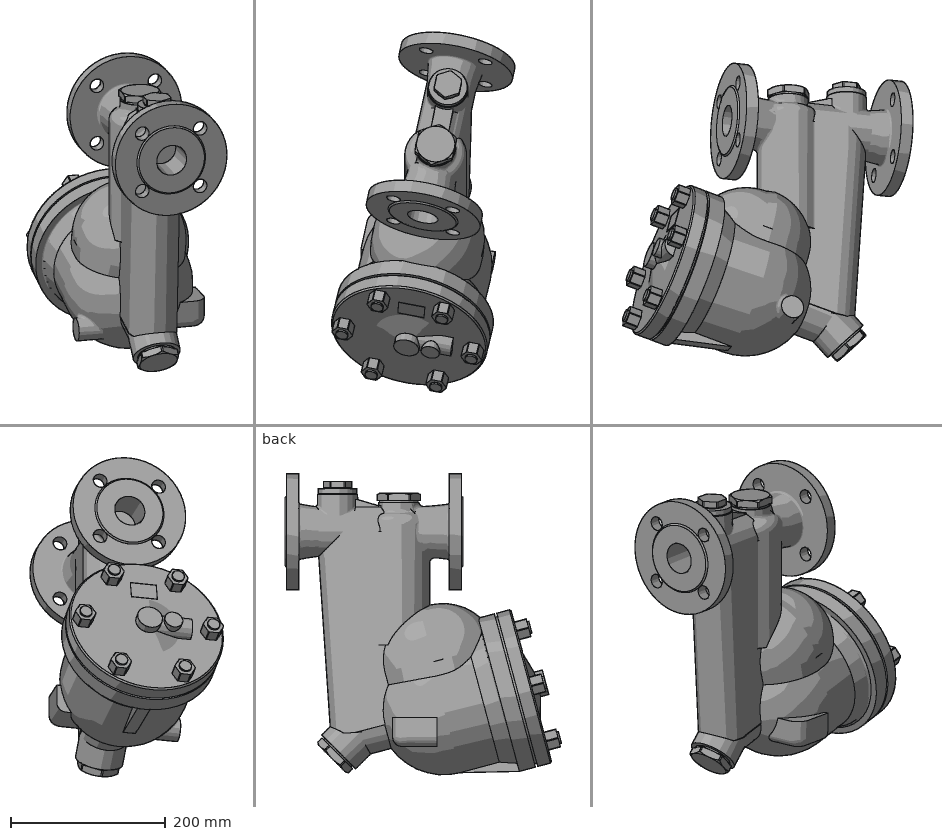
import cadquery as cq
import math


overall_length = 356.95
overall_height = 388.92
face_to_face = 230.0
flange_diameter = 150.0
flange_thickness = 16.0
raised_face_diameter = 88.0
raised_face_base_diameter = 92.0
raised_face_height = 2.0
flange_hole_diameter = 18.0
flange_hole_circle = 110.0
flange_hole_count = 4
flange_hole_start_angle = 45.0
bore_diameter = 40.0
bore_depth = 50.0
pipe_radius = 32.0
neck_radius_at_flange = 35.5
inlet_neck_end_radius = 29.5
outlet_neck_end_x = 71.5
neck_root_fillet = 3.0
neck_fillet = 6.0
web_fillet = 4.0

tube_x = -32.0
tube_radius = 40.0
tube_bottom_z = -146.0
shoulder_bottom_z = 9.7
shoulder_radius = 14.5
shoulder_root_radius = 5.8
tube_neck_radius = 26.0
tube_neck_top_z = 37.5
cap_washer_diameter = 50.0
cap_washer_thickness = 2.5
cap_hex_flats = 49.5
cap_hex_corners = 56.0
cap_crown_angle = 60.0
cap_hex_height = 9.7

boss_x = 47.0
boss_radius = 26.0
boss_top_z = 48.0
boss_fillet = 4.0
collar_diameter = 50.0
collar_bottom_z = 49.0
collar_top_z = 55.5
plug_stem_diameter = 33.0
plug_hex_flats = 33.0
plug_hex_corners = 37.0
plug_hex_bottom_z = 56.7
plug_hex_height = 8.3

rib_thickness = 23.5
rib_low_z = 33.5
rib_high_z = 41.5
rib_root_width = 35.0
rib_root_top_z = 31.8

channel_x = 39.5
channel_tilt = 3.85
channel_bottom_z = -259.0

chamber_tilt = 15.0
cover_x = -203.0
lowest_z = flange_diameter / 2 - overall_height
leftmost_x = face_to_face / 2 - overall_length
cover_diameter = 205.0
cover_thickness = 19.0
cover_chamfer = 2.0
gasket_diameter = 196.0
gasket_thickness = 3.0
body_flange_thickness = 21.5
body_flange_fillet = 3.0
body_root_radius = 91.0
body_taper_end = 65.5
body_radius = 84.5
body_length = 117.0
body_flange_face = cover_thickness + gasket_thickness
body_flange_back = body_flange_face + body_flange_thickness

dome_radius = 72.0
dome_offset = 63.0
dome_start = 101.0
dome_end = 113.3
dome_end_offset = 65.8

bolt_circle_radius = 85.0
bolt_count = 6
stud_diameter = 16.0
nut_flats = 24.0
nut_corners = 27.0
nut_height = 16.0
cone_base_diameter = 88.0
cone_height = 8.0
centre_boss_diameter = 33.0
fitting_height = 19.0
side_pipe_diameter = 30.0
side_pipe_length = 57.5
side_boss_diameter = 24.0
side_boss_offset = 31.5
label_width = 34.5
label_height = 23.0
label_offset = 57.5
label_thickness = 0.5

elbow_radius = 31.0
elbow_length = 35.5
elbow_angle = 45.0
elbow_bend_x = 20.5

side_plug_x = -52.3
side_plug_z = -273.7
side_plug_diameter = 30.0
side_plug_fillet = 3.5
side_plug_reach = 80.0
rear_lug_left_x = -81.0
rear_lug_right_x = -24.0
rear_lug_reach = 88.5
rear_lug_bottom_z = -277.0
rear_lug_top_z = -240.0
rear_lug_fillet = 18.0
rear_lug_bottom_fillet = 12.0
foot_width = 16.6

edge_margin = 1.0

sin_tilt = math.sin(math.radians(chamber_tilt))
cos_tilt = math.cos(math.radians(chamber_tilt))
cover_z = lowest_z + body_radius + body_length * sin_tilt
chamber = cq.Plane(
    origin=(cover_x, 0, cover_z), xDir=(0, 1, 0), normal=(cos_tilt, 0, -sin_tilt)
)
bolt_row_offset = bolt_circle_radius * math.sin(2 * math.pi / bolt_count)
stud_length = (
    cover_x - leftmost_x - (bolt_row_offset + stud_diameter / 2) * sin_tilt
) / cos_tilt


def chamber_plane(depth):
    """Workplane across the chamber axis, the given depth behind the cover face."""
    return cq.Workplane(chamber).workplane(offset=depth)


def upright(x, bottom_z):
    """Horizontal workplane centred on an upright axis."""
    return cq.Workplane("XY", origin=(x, 0, bottom_z))


def hex_head(plane, flats, corners, height):
    """Hexagon with its corners turned down to a circle."""
    prism = plane.polygon(6, flats / math.cos(math.radians(30))).extrude(height)
    return prism.intersect(plane.circle(corners / 2).extrude(height))


def fillet_edges(body, radius, lower, upper):
    """Round the edges whose middle lies inside the box between two corners."""
    return body.edges(cq.selectors.BoxSelector(lower, upper)).fillet(radius)


def pipe_flange(neck_end_x, neck_end_radius):
    """Flange, raised face and tapered neck on the -X side."""
    face_x = -face_to_face / 2
    disc_x = face_x + raised_face_height
    neck_x = disc_x + flange_thickness
    raised = cq.Workplane(
        cq.Solid.makeCone(
            raised_face_diameter / 2,
            raised_face_base_diameter / 2,
            raised_face_height,
            cq.Vector(face_x, 0, 0),
            cq.Vector(1, 0, 0),
        )
    )
    disc = cq.Workplane("YZ", origin=(disc_x, 0, 0)).circle(flange_diameter / 2)
    holes = (
        cq.Workplane("YZ", origin=(disc_x, 0, 0))
        .polarArray(flange_hole_circle / 2, flange_hole_start_angle, 360, flange_hole_count)
        .circle(flange_hole_diameter / 2)
        .extrude(flange_thickness)
    )
    neck = (
        cq.Workplane("XY")
        .moveTo(neck_x, 0)
        .lineTo(neck_x, neck_radius_at_flange + neck_root_fillet)
        .radiusArc(
            (neck_x + neck_root_fillet, neck_radius_at_flange), -neck_root_fillet
        )
        .lineTo(neck_end_x, neck_end_radius)
        .lineTo(neck_end_x, 0)
        .close()
        .revolve(360, (0, 0, 0), (1, 0, 0))
    )
    body = raised.union(disc.extrude(flange_thickness))
    return body.cut(holes).union(neck)


def capped_tube():
    """Upright tube with a rounded shoulder and a narrow neck."""
    arc_sum = shoulder_radius + shoulder_root_radius
    turn = math.acos(1 - (tube_radius - tube_neck_radius) / arc_sum)
    meeting = (
        tube_radius - shoulder_radius * (1 - math.cos(turn)),
        shoulder_bottom_z + shoulder_radius * math.sin(turn),
    )
    root_z = shoulder_bottom_z + arc_sum * math.sin(turn)
    return (
        cq.Workplane("XZ", origin=(tube_x, 0, 0))
        .moveTo(0, tube_bottom_z)
        .lineTo(tube_radius, tube_bottom_z)
        .lineTo(tube_radius, shoulder_bottom_z)
        .radiusArc(meeting, -shoulder_radius)
        .radiusArc((tube_neck_radius, root_z), shoulder_root_radius)
        .lineTo(tube_neck_radius, tube_neck_top_z)
        .lineTo(0, tube_neck_top_z)
        .close()
        .revolve(360, (0, 0, 0), (0, 1, 0))
    )


def cap(plane):
    """Hexagonal screw cap with a round crown on a thin washer."""
    washer = plane.circle(cap_washer_diameter / 2).extrude(cap_washer_thickness)
    head_plane = plane.workplane(offset=cap_washer_thickness)
    head = hex_head(head_plane, cap_hex_flats, cap_hex_corners, cap_hex_height)
    crown = (
        head_plane.workplane(offset=cap_hex_height)
        .circle(cap_hex_flats / 2)
        .extrude(-cap_hex_height, taper=-cap_crown_angle)
    )
    return washer.union(head.intersect(crown))


def boss_plug():
    """Collared hexagon plug standing in the boss."""
    stem = upright(boss_x, 0).circle(plug_stem_diameter / 2).extrude(plug_hex_bottom_z)
    collar = (
        upright(boss_x, collar_bottom_z)
        .circle(collar_diameter / 2)
        .extrude(collar_top_z - collar_bottom_z)
    )
    head = hex_head(
        upright(boss_x, plug_hex_bottom_z), plug_hex_flats, plug_hex_corners, plug_hex_height
    )
    return stem.union(collar).union(head)


def sloping_rib():
    """Rib rising from the tube neck to the boss, flared where it meets the pipe."""
    low_x = tube_x + tube_neck_radius
    high_x = boss_x - boss_radius
    root_y = rib_root_width / 2
    side_y = rib_thickness / 2
    root_z = math.sqrt(pipe_radius**2 - root_y**2)
    root = (
        cq.Workplane("YZ", origin=(tube_x, 0, 0))
        .moveTo(-root_y, root_z)
        .lineTo(-side_y, rib_root_top_z)
        .lineTo(side_y, rib_root_top_z)
        .lineTo(root_y, root_z)
        .close()
        .extrude(boss_x - tube_x)
    )
    web = (
        cq.Workplane("XZ", origin=(0, rib_thickness / 2, 0))
        .moveTo(tube_x, 0)
        .lineTo(tube_x, rib_low_z)
        .lineTo(low_x, rib_low_z)
        .lineTo(high_x, rib_high_z)
        .lineTo(boss_x, rib_high_z)
        .lineTo(boss_x, 0)
        .close()
        .extrude(rib_thickness)
    )
    return web.union(root)


def outlet_channel():
    """Flat-sided channel whose outer edge is a half round."""
    bend_z = -pipe_radius
    drop = bend_z - channel_bottom_z
    slope = math.tan(math.radians(channel_tilt))
    bottom_x = channel_x - drop * slope
    web = (
        cq.Workplane("XZ", origin=(0, pipe_radius, 0))
        .moveTo(tube_x, 0)
        .lineTo(channel_x, 0)
        .lineTo(channel_x, bend_z)
        .lineTo(bottom_x, channel_bottom_z)
        .lineTo(cover_x + body_length * cos_tilt, cover_z - body_length * sin_tilt)
        .lineTo(tube_x, tube_bottom_z)
        .close()
        .extrude(2 * pipe_radius)
    )
    path = (
        cq.Workplane("XZ")
        .moveTo(channel_x, 0)
        .lineTo(channel_x, bend_z)
        .lineTo(bottom_x, channel_bottom_z)
    )
    return web.union(upright(channel_x, 0).circle(pipe_radius).sweep(path, transition="right"))


def drain_elbow():
    """Tube on the chamber axis that turns to a capped drain."""
    bend_depth = (elbow_bend_x - cover_x) / cos_tilt
    bend_z = cover_z - bend_depth * sin_tilt
    run = math.cos(math.radians(elbow_angle))
    drop = math.sin(math.radians(elbow_angle))
    end_x = elbow_bend_x + elbow_length * run
    end_z = bend_z - elbow_length * drop
    start = chamber.toWorldCoords((0, 0, body_length))
    path = (
        cq.Workplane("XZ")
        .moveTo(start.x, start.z)
        .lineTo(elbow_bend_x, bend_z)
        .lineTo(end_x, end_z)
    )
    tube = chamber_plane(body_length).circle(elbow_radius).sweep(path, transition="right")
    end = cq.Plane(origin=(end_x, 0, end_z), xDir=(drop, 0, run), normal=(run, 0, -drop))
    return tube.union(cap(cq.Workplane(end)))


def chamber_body():
    """Flanged chamber body with a spherical end."""
    back = body_flange_back
    radius = cover_diameter / 2
    fillet = body_flange_fillet
    profile = (
        cq.Workplane("XY")
        .moveTo(0, body_flange_face)
        .lineTo(radius, body_flange_face)
        .lineTo(radius, back)
        .lineTo(body_root_radius + fillet, back)
        .radiusArc((body_root_radius, back + fillet), fillet)
        .lineTo(body_radius, body_taper_end)
        .lineTo(body_radius, body_length)
        .radiusArc((0, body_length + body_radius), -body_radius)
        .close()
        .revolve(360, (0, 0, 0), (0, 1, 0))
    )
    turned = profile.rotate((0, 0, 0), (1, 0, 0), 90).val().moved(cq.Location(chamber))
    gasket = chamber_plane(cover_thickness).circle(gasket_diameter / 2).extrude(gasket_thickness)
    cover = (
        chamber_plane(0)
        .circle(cover_diameter / 2)
        .extrude(cover_thickness)
        .faces(cq.selectors.DirectionMinMaxSelector(chamber.zDir, False))
        .chamfer(cover_chamfer)
    )
    return cq.Workplane(turned).union(gasket).union(cover)


def upper_dome():
    """Bulge above the chamber: two sphere ends, a short barrel and straight sides."""
    length = dome_end - dome_start
    start = cq.Vector(0, dome_offset, dome_start)
    end = cq.Vector(0, dome_end_offset, dome_end)
    across = cq.Vector(0, 0, 1)
    ring = cq.Wire.makeCircle(dome_radius, start, across)
    dome = cq.Workplane(cq.Solid.extrudeLinear(ring, [], end - start))
    for centre, facing in ((start, -across), (end, across)):
        ball = cq.Solid.makeSphere(dome_radius, centre, facing, 0, 90, 360)
        side = cq.Workplane("XZ", origin=centre.toTuple()).circle(dome_radius).extrude(centre.y)
        dome = dome.union(cq.Workplane(ball)).union(side)
    filler = (
        cq.Workplane("XY", origin=(0, dome_offset / 2, dome_start))
        .rect(2 * dome_radius, dome_offset)
        .extrude(length)
    )
    return cq.Workplane(dome.union(filler).val().moved(cq.Location(chamber)))


def bolting():
    """Studs and nuts round the cover."""
    fasteners = []
    for index in range(bolt_count):
        angle = 2 * math.pi * index / bolt_count
        spot = (bolt_circle_radius * math.cos(angle), bolt_circle_radius * math.sin(angle))
        stud = chamber_plane(0).center(*spot).circle(stud_diameter / 2).extrude(-stud_length)
        nut = hex_head(chamber_plane(0).center(*spot), nut_flats, nut_corners, -nut_height)
        fasteners.append(stud.union(nut).val())
    return cq.Workplane(cq.Compound.makeCompound(fasteners))


def cover_fittings():
    """Cone, centre boss, side pipe with its boss, and the label plate."""
    cone = cq.Solid.makeCone(
        cone_base_diameter / 2,
        centre_boss_diameter / 2,
        cone_height,
        cq.Vector(*chamber.origin.toTuple()),
        -chamber.zDir,
    )
    centre = chamber_plane(0).circle(centre_boss_diameter / 2).extrude(-fitting_height)
    side = (
        chamber_plane(0)
        .center(-side_boss_offset, 0)
        .circle(side_boss_diameter / 2)
        .extrude(-fitting_height)
    )
    pipe = (
        cq.Workplane("XZ", origin=(cover_x, 0, cover_z))
        .circle(side_pipe_diameter / 2)
        .extrude(side_pipe_length)
    )
    label = (
        chamber_plane(0)
        .center(0, label_offset)
        .rect(label_width, label_height)
        .extrude(-label_thickness)
    )
    return cq.Workplane(cone).union(centre).union(side).union(pipe).union(label)


def side_plug():
    """Round plug low on the -Y side."""
    return (
        cq.Workplane("XZ", origin=(side_plug_x, 0, side_plug_z))
        .circle(side_plug_diameter / 2)
        .extrude(side_plug_reach)
    )


def rear_lug():
    """Rounded lug low on the +Y side."""
    return (
        cq.Workplane("XY", origin=(0, 0, rear_lug_bottom_z))
        .moveTo(rear_lug_left_x, 0)
        .lineTo(rear_lug_right_x, 0)
        .lineTo(rear_lug_right_x, rear_lug_reach)
        .lineTo(rear_lug_left_x, rear_lug_reach)
        .close()
        .extrude(rear_lug_top_z - rear_lug_bottom_z)
        .edges(">X and >Y")
        .fillet(rear_lug_fillet)
        .faces("<Z")
        .edges(">Y")
        .fillet(rear_lug_bottom_fillet)
    )


def foot():
    """Web under the body, from the flange rim to the spherical end."""
    rim_y = -cover_diameter / 2
    rim_back = chamber.toWorldCoords((0, rim_y, body_flange_back))
    axis_start = chamber.toWorldCoords((0, 0, body_flange_back))
    axis_end = chamber.toWorldCoords((0, 0, body_length))
    end = chamber.toWorldCoords((0, -body_radius, body_length))
    points = [(point.x, point.z) for point in (rim_back, axis_start, axis_end, end)]
    return (
        cq.Workplane("XZ", origin=(0, foot_width / 2, 0))
        .polyline(points)
        .close()
        .extrude(foot_width)
    )


def flange_bore():
    """Blind bore entering the -X flange face."""
    return (
        cq.Workplane("YZ", origin=(-face_to_face / 2, 0, 0))
        .circle(bore_diameter / 2)
        .extrude(bore_depth)
    )


def pipework():
    """Connecting pipe, flanged necks, upright tube, boss and outlet channel."""
    pipe = (
        cq.Workplane("YZ", origin=(tube_x, 0, 0))
        .circle(pipe_radius)
        .extrude(face_to_face / 2 - flange_thickness - tube_x)
    )
    boss = upright(boss_x, 0).circle(boss_radius).extrude(boss_top_z)
    bossed = pipe.union(boss)
    bossed = fillet_edges(
        bossed,
        boss_fillet,
        (boss_x - boss_radius, -boss_radius, edge_margin),
        (boss_x + boss_radius, boss_radius, pipe_radius + edge_margin),
    )
    inlet = pipe_flange(tube_x, inlet_neck_end_radius).union(capped_tube())
    inlet = fillet_edges(
        inlet,
        neck_fillet,
        (tube_x - tube_radius, -pipe_radius, -neck_radius_at_flange),
        (tube_x - edge_margin, pipe_radius, 0.5 * shoulder_bottom_z),
    )
    webbed = capped_tube().union(outlet_channel())
    web_x = tube_x + math.sqrt(tube_radius**2 - pipe_radius**2)
    webbed = fillet_edges(
        webbed,
        web_fillet,
        (web_x - edge_margin, -pipe_radius - edge_margin, tube_bottom_z + edge_margin),
        (web_x + edge_margin, pipe_radius + edge_margin, -edge_margin),
    )
    outlet = pipe_flange(-outlet_neck_end_x, pipe_radius).mirror("YZ")
    return inlet.union(webbed).union(bossed).union(outlet).union(boss_plug())


def plugged_chamber():
    """Chamber with the side plug blended into it."""
    body = chamber_body().union(side_plug())
    reach = side_plug_diameter
    return fillet_edges(
        body,
        side_plug_fillet,
        (side_plug_x - reach, -side_plug_reach + edge_margin, side_plug_z - reach),
        (side_plug_x + reach, -edge_margin, side_plug_z + reach),
    )


result = (
    pipework()
    .union(cap(upright(tube_x, tube_neck_top_z)))
    .union(sloping_rib())
    .union(plugged_chamber())
    .union(upper_dome())
    .union(drain_elbow())
    .union(bolting())
    .union(cover_fittings())
    .union(rear_lug())
    .union(foot())
    .cut(flange_bore())
    .cut(flange_bore().mirror("YZ"))
)